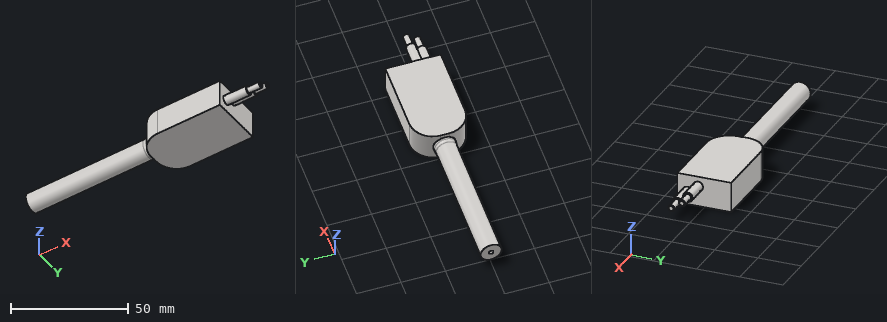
import cadquery as cq

overall_length = 124.0

body_front = 63.0
body_length = 42.9
body_width = 25.0
body_height = 14.0
body_nose_width = 4.0
body_corner_radius = (body_width - body_nose_width) / 2
body_back = body_front + body_length

cable_diameter = 9.5
cable_bore_diameter = 2.0
collar_diameter = 10.0
collar_start = 60.5
collar_taper_end = 62.1
overlap = 1.2

pin_axes = [(-2.7, 2.5), (-7.7, -0.9)]
pin_sleeve_diameter = 4.5
pin_sleeve_length = 11.5
pin_tip_diameter = 3.0
pin_tip_chamfer = 0.4


def rod(diameter, start, end, y=0, z=0):
    """Cylinder along X from start to end, on the axis at (y, z)."""
    plane = cq.Workplane("YZ", origin=(start, y, z))
    return plane.circle(diameter / 2).extrude(end - start)


def make_body():
    """Block with its two cable-side corners rounded, leaving a narrow flat nose."""
    block = cq.Workplane("XY").box(body_length, body_width, body_height, centered=(False, True, True))
    block = block.edges("|Z and <X").fillet(body_corner_radius)
    return block.translate((body_front, 0, 0))


def make_collar():
    """Collar that tapers up from the cable and then runs straight into the body."""
    profile = (
        cq.Workplane("XY")
        .moveTo(collar_start, 0)
        .lineTo(collar_start, cable_diameter / 2)
        .lineTo(collar_taper_end, collar_diameter / 2)
        .lineTo(body_front + overlap, collar_diameter / 2)
        .lineTo(body_front + overlap, 0)
        .close()
    )
    return profile.revolve(360, (0, 0, 0), (1, 0, 0))


def make_pin(y, z):
    """Wide sleeve followed by a narrower tip with a chamfered end."""
    sleeve = rod(pin_sleeve_diameter, body_back - overlap, body_back + pin_sleeve_length, y, z)
    tip = rod(pin_tip_diameter, body_back, overall_length, y, z)
    tip = tip.faces(">X").chamfer(pin_tip_chamfer)
    return sleeve.union(tip)


result = make_body().union(make_collar()).union(rod(cable_diameter, 0, body_front))
for pin_y, pin_z in pin_axes:
    result = result.union(make_pin(pin_y, pin_z))

result = result.cut(rod(cable_bore_diameter, 0, body_front))